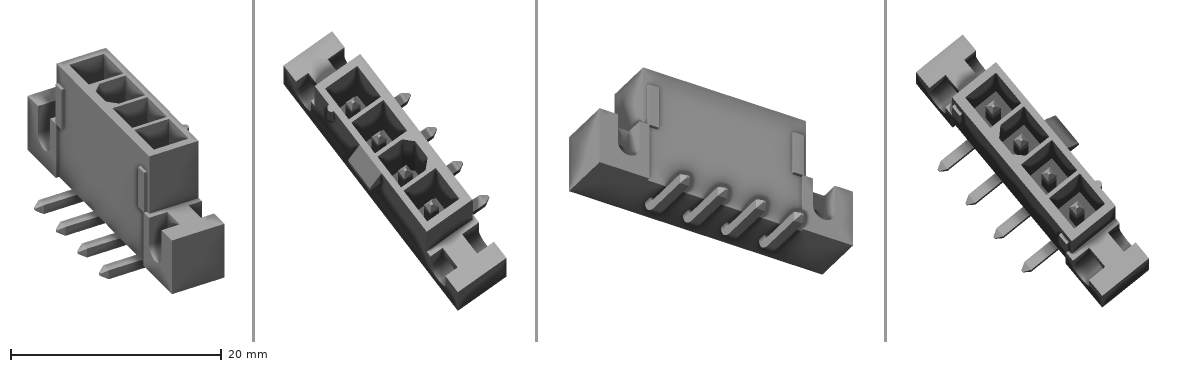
import cadquery as cq
import math


contact_count = 4
pitch = 4.2
cavity_size = 3.8
end_wall = 0.8
back_wall = 0.65
front_wall = 0.95
cavity_floor_z = 3.0
keyed_cavity = 1
key_chamfer = 0.9

housing_length = (contact_count - 1) * pitch + cavity_size + 2 * end_wall
housing_depth = back_wall + cavity_size + front_wall
housing_height = 12.8

overall_length = 28.0
ear_height = 6.2
ear_depth = 5.75
ear_inner_x = 8.5
hole_diameter = 2.4
hole_x = 10.8
hole_z = ear_height / 2
back_notch_depth = 1.45
front_notch_depth = 2.0

rib_inner_x = 7.45
rib_outer_x = 8.6
rib_top_z = 10.8

latch_width = 3.5
latch_reach = 1.4
latch_tip_top = 2.35
latch_root_bottom = 3.05
latch_tip_bottom = 3.2
bump_x = (contact_count - 1) * pitch / 2
bump_radius = 0.4
bump_length = 3.0

pin_size = 1.02
pin_drop = 1.6
pin_bend_inner_radius = 0.63
pin_reach = 9.3
pin_top_z = 9.8
pin_taper_length = 0.7
pin_tip_size = 0.25
pin_y = -(back_wall + cavity_size / 2)


def block(x_range, y_range, z_range):
    """Box spanning the given (low, high) limits on each axis."""
    size = [high - low for low, high in (x_range, y_range, z_range)]
    corner = (x_range[0], y_range[0], z_range[0])
    return cq.Workplane("XY").box(*size, centered=False).translate(corner)


def mirrored(body):
    """The body together with its mirror image across the YZ plane."""
    return body.union(body.mirror("YZ"))


def make_ear():
    ear = block((ear_inner_x, overall_length / 2), (-ear_depth, 0), (0, ear_height))
    hole = cq.Workplane("XZ").center(hole_x, hole_z).circle(hole_diameter / 2).extrude(ear_depth)
    ear = ear.cut(hole)
    notch_x = (hole_x - hole_diameter / 2, hole_x + hole_diameter / 2)
    for notch_y in ((-back_notch_depth, 0), (-ear_depth, front_notch_depth - ear_depth)):
        ear = ear.cut(block(notch_x, notch_y, (hole_z, ear_height)))
    return ear


def make_rib():
    return block((rib_inner_x, rib_outer_x), (-ear_depth, -housing_depth), (ear_height, rib_top_z))


def make_cavity(x, keyed):
    half = cavity_size / 2
    y_range = (pin_y - half, pin_y + half)
    cavity = block((x - half, x + half), y_range, (cavity_floor_z, housing_height))
    if keyed:
        cavity = cavity.faces("<Y").edges("|Z").chamfer(key_chamfer)
    return cavity


def make_latch():
    return (
        cq.Workplane("YZ")
        .moveTo(0, housing_height)
        .lineTo(latch_reach, housing_height - latch_tip_top)
        .lineTo(latch_reach, housing_height - latch_tip_bottom)
        .lineTo(0, housing_height - latch_root_bottom)
        .close()
        .extrude(latch_width / 2, both=True)
    )


def make_bump():
    return (
        cq.Workplane("XY", origin=(bump_x, 0, housing_height))
        .circle(bump_radius)
        .extrude(-bump_length)
        .intersect(block((-housing_length, housing_length), (0, bump_radius), (0, housing_height)))
    )


def make_pin_taper(plane):
    """Square taper that ends a pin, growing along the normal of the plane."""
    return (
        cq.Workplane(plane)
        .rect(pin_size, pin_size)
        .workplane(offset=pin_taper_length)
        .rect(pin_tip_size, pin_tip_size)
        .loft()
    )


def make_pin(x):
    half = pin_size / 2
    outer_radius = pin_bend_inner_radius + pin_size
    center_y = pin_y + half - outer_radius
    center_z = outer_radius - pin_drop
    shank_top_z = pin_top_z - pin_taper_length
    shank_end_y = pin_taper_length - pin_reach
    diagonal = math.sqrt(0.5)

    def bend_middle(radius):
        return center_y + radius * diagonal, center_z - radius * diagonal

    shank = (
        cq.Workplane("YZ")
        .moveTo(pin_y + half, shank_top_z)
        .lineTo(pin_y + half, center_z)
        .threePointArc(bend_middle(outer_radius), (center_y, -pin_drop))
        .lineTo(shank_end_y, -pin_drop)
        .lineTo(shank_end_y, pin_size - pin_drop)
        .lineTo(center_y, pin_size - pin_drop)
        .threePointArc(bend_middle(pin_bend_inner_radius), (pin_y - half, center_z))
        .lineTo(pin_y - half, shank_top_z)
        .close()
        .extrude(half, both=True)
    )
    top_taper = make_pin_taper(cq.Plane.XY(origin=(0, pin_y, shank_top_z)))
    tail_taper = make_pin_taper(cq.Plane.XZ(origin=(0, shank_end_y, half - pin_drop)))
    return shank.union(top_taper).union(tail_taper).translate((x, 0, 0))


def make_housing():
    half_length = housing_length / 2
    housing = block((-half_length, half_length), (-housing_depth, 0), (0, housing_height))
    housing = housing.union(mirrored(make_ear()))
    housing = housing.union(mirrored(make_rib()))
    return housing.union(make_latch()).union(make_bump())


result = make_housing()
for index in range(contact_count):
    contact_x = (index - (contact_count - 1) / 2) * pitch
    result = result.cut(make_cavity(contact_x, index == keyed_cavity))
    result = result.union(make_pin(contact_x))